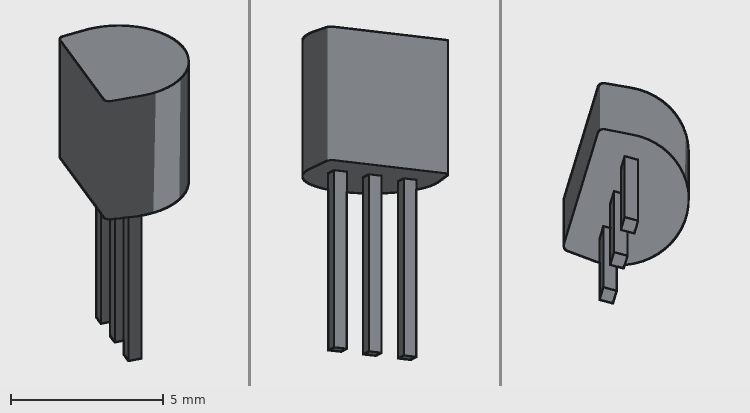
import cadquery as cq
import math


BODY_WIDTH = 4.6
BODY_HEIGHT = 4.6
BODY_DEPTH = 3.6
BACK_RADIUS = BODY_WIDTH / 2
FRONT_Y = BACK_RADIUS - BODY_DEPTH

LEAD_SIZE = 0.46
LEAD_LENGTH = 6.0
LEAD_PITCH = 1.27
LEAD_COUNT = 3

PARTING_Y = -LEAD_SIZE / 2
PARTING_WIDTH = 2 * math.sqrt(BACK_RADIUS**2 - PARTING_Y**2)
TAPER_DEPTH = PARTING_Y - FRONT_Y
SIDE_DRAFT_DEG = 5.0
END_DRAFT_DEG = 2.0
FRONT_CORNER_RADIUS = 0.2


def taper_inset(draft_deg):
    """Distance a drafted face moves inward over the depth of the front section."""
    return TAPER_DEPTH * math.tan(math.radians(draft_deg))


def make_back():
    """Round back whose arc runs a little past its widest point to the parting plane."""
    past_widest_angle = math.asin(-PARTING_Y / BACK_RADIUS) / 2
    past_widest_x = BACK_RADIUS * math.cos(past_widest_angle)
    past_widest_y = -BACK_RADIUS * math.sin(past_widest_angle)
    return (
        cq.Workplane("XY")
        .moveTo(PARTING_WIDTH / 2, PARTING_Y)
        .threePointArc((past_widest_x, past_widest_y), (BACK_RADIUS, 0))
        .threePointArc((0, BACK_RADIUS), (-BACK_RADIUS, 0))
        .threePointArc((-past_widest_x, past_widest_y), (-PARTING_WIDTH / 2, PARTING_Y))
        .close()
        .extrude(BODY_HEIGHT)
    )


def make_front():
    """Front section drafted on all four sides, with rounded upright corners."""
    front_width = PARTING_WIDTH - 2 * taper_inset(SIDE_DRAFT_DEG)
    front_height = BODY_HEIGHT - 2 * taper_inset(END_DRAFT_DEG)
    return (
        cq.Workplane("XZ", origin=(0, PARTING_Y, BODY_HEIGHT / 2))
        .rect(PARTING_WIDTH, BODY_HEIGHT)
        .workplane(offset=TAPER_DEPTH)
        .rect(front_width, front_height)
        .loft(ruled=True)
        .edges("|Z")
        .edges("<Y")
        .fillet(FRONT_CORNER_RADIUS)
    )


def make_leads():
    """Row of straight square leads hanging below the body."""
    return (
        cq.Workplane("XY")
        .rarray(LEAD_PITCH, LEAD_PITCH, LEAD_COUNT, 1)
        .rect(LEAD_SIZE, LEAD_SIZE)
        .extrude(-LEAD_LENGTH)
    )


result = make_back().union(make_front()).union(make_leads())